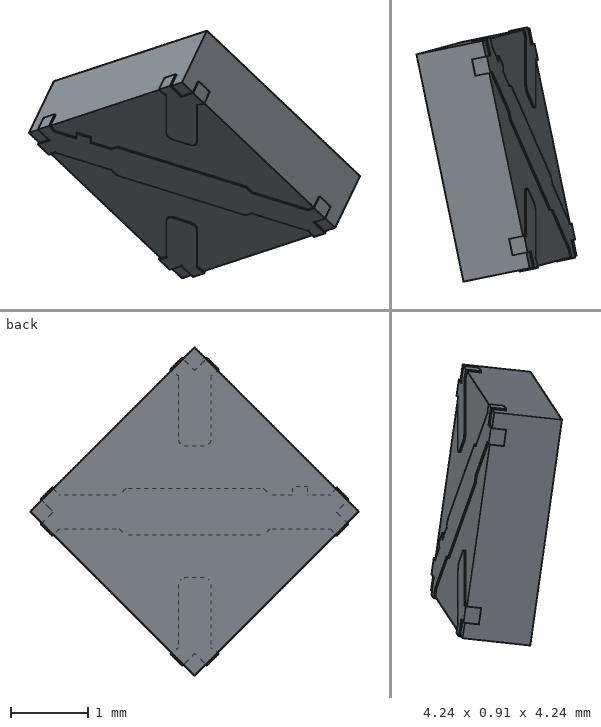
import cadquery as cq
import math

diagonal = 4.24
half_diagonal = diagonal / 2
half_side = half_diagonal / math.sqrt(2)
total_depth = 0.91
metal_thickness = 0.02
body_depth = total_depth - metal_thickness
face_y = -body_depth / 2

corner_square = 0.208
clip_width = 0.215
clip_height = 0.205
clip_end = corner_square + clip_width
neck = 1.755

pad_half_width = 0.21
pad_tip = 0.85
pad_tip_radius = 0.1

bar_half_width = 0.22
bar_wide_half_width = 0.3
bar_wide_half_length = 0.89
bar_taper = bar_wide_half_width - bar_half_width

mark_left = -1.455
mark_width = 0.195
mark_top = 0.33

square_step = corner_square / math.sqrt(2)
clip_step = clip_end / math.sqrt(2)


def metal(outline):
    """Thin metal layer on the body face; outline points are (x, z)."""
    plane = cq.Workplane("XZ", origin=(0, face_y, 0))
    return plane.polyline(outline).close().extrude(metal_thickness)


def terminal_end(half_width):
    """Half outline at the +X corner, from the bare square to the strip side."""
    return [
        (half_diagonal - 2 * square_step, 0),
        (half_diagonal - square_step, square_step),
        (half_diagonal - clip_step, clip_step),
        (neck, half_width),
    ]


def about_depth_axis(shape, angle):
    """Turn a shape about the Y axis; angle in degrees."""
    return shape.rotate((0, 0, 0), (0, 1, 0), angle)


def make_body():
    return about_depth_axis(cq.Workplane("XY").box(2 * half_side, body_depth, 2 * half_side), 45)


def make_centre_bar():
    right_end = terminal_end(bar_half_width)
    left_end = [(-x, z) for x, z in reversed(right_end)]
    wide_part = [
        (bar_wide_half_length + bar_taper, bar_half_width),
        (bar_wide_half_length, bar_wide_half_width),
        (-bar_wide_half_length, bar_wide_half_width),
        (-bar_wide_half_length - bar_taper, bar_half_width),
    ]
    upper_half = right_end + wide_part + left_end
    lower_half = [(x, -z) for x, z in reversed(upper_half[1:-1])]
    bar = metal(upper_half + lower_half)
    mark_right = mark_left + mark_width
    mark = metal([(mark_left, 0), (mark_right, 0), (mark_right, mark_top), (mark_left, mark_top)])
    return bar.union(mark)


def make_end_pad():
    """End pad at the +X corner, to be turned to its own corner."""
    upper_half = terminal_end(pad_half_width) + [(pad_tip, pad_half_width)]
    lower_half = [(x, -z) for x, z in reversed(upper_half[1:])]
    pad = metal(upper_half + lower_half)
    return pad.edges("|Y").edges("<X").fillet(pad_tip_radius)


def make_corner_clips():
    """Pair of clips wrapping the body edges on both sides of the +X corner."""
    clip = cq.Workplane("XY").box(clip_width, clip_height, metal_thickness, centered=False)
    clip = clip.translate((half_side - clip_end, face_y - metal_thickness, half_side))
    upper = about_depth_axis(clip, 45)
    return upper.union(upper.mirror("XY"))


result = make_body().union(make_centre_bar())
for angle in (90, -90):
    result = result.union(about_depth_axis(make_end_pad(), angle))
for angle in (0, 90, 180, 270):
    result = result.union(about_depth_axis(make_corner_clips(), angle))
result = result.translate((0, metal_thickness / 2, 0))